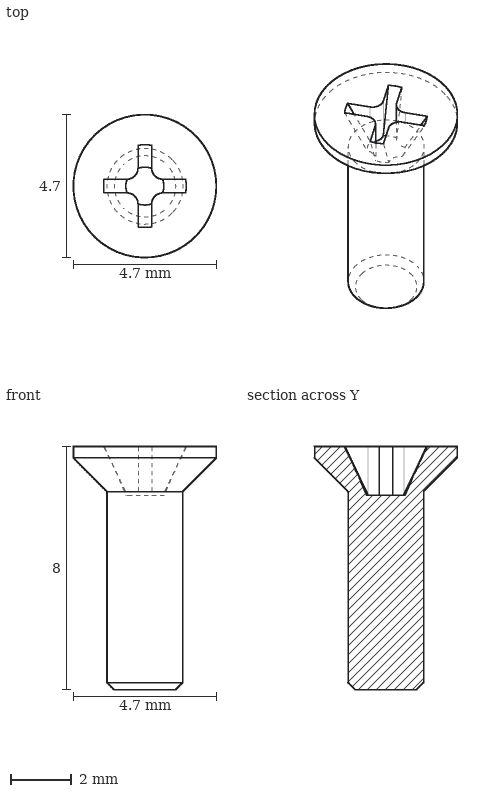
import cadquery as cq

length = 8.0
head_diameter = 4.7
shank_diameter = 2.5
head_rim_height = 0.38
tip_chamfer = 0.24

recess_top_radius = 1.36
recess_floor_radius = 0.62
recess_depth = 1.6
wing_width = 0.45
wing_corner_radius = 0.37

head_radius = head_diameter / 2
shank_radius = shank_diameter / 2
rim_bottom = length - head_rim_height
head_bottom = rim_bottom - (head_radius - shank_radius)


def screw_body():
    """Revolve the half profile of tip, shank and countersunk head."""
    return (
        cq.Workplane("XZ")
        .moveTo(0, 0)
        .lineTo(shank_radius - tip_chamfer, 0)
        .lineTo(shank_radius, tip_chamfer)
        .lineTo(shank_radius, head_bottom)
        .lineTo(head_radius, rim_bottom)
        .lineTo(head_radius, length)
        .lineTo(0, length)
        .close()
        .revolve(360, (0, 0, 0), (0, 1, 0))
    )


def cross_recess():
    """Intersect a cross prism with a cone so the wings slope in to the floor."""
    wing_length = 2 * recess_top_radius + wing_width
    floor = cq.Workplane("XY").workplane(offset=length - recess_depth)
    cross = (
        floor.rect(wing_length, wing_width)
        .extrude(recess_depth)
        .union(floor.rect(wing_width, wing_length).extrude(recess_depth))
    )
    inner_corners = cq.selectors.BoxSelector(
        (-wing_width, -wing_width, 0), (wing_width, wing_width, length)
    )
    cross = cross.edges("|Z").edges(inner_corners).fillet(wing_corner_radius)
    cone = (
        floor.circle(recess_floor_radius)
        .workplane(offset=recess_depth)
        .circle(recess_top_radius)
        .loft(combine=True)
    )
    return cross.intersect(cone)


result = screw_body().cut(cross_recess())